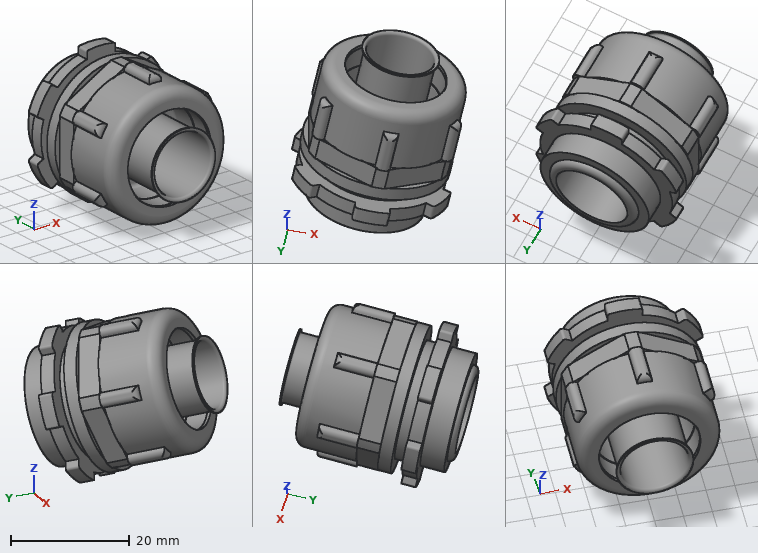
import cadquery as cq

OVERALL_LENGTH = 31.0
SIXFOLD = 6
SIXFOLD_STEP = 360 / SIXFOLD

CAP_FRONT_Y = 4.03
CAP_LIP_LENGTH = 0.62
CLAMP_FRONT_Y = CAP_FRONT_Y + CAP_LIP_LENGTH
FERRULE_RIM_Y = 8.6
FERRULE_FLOOR_Y = 13.95
HEX_FRONT_Y = 15.07
HEX_LENGTH = 3.95
HEX_BACK_Y = HEX_FRONT_Y + HEX_LENGTH
GASKET_LENGTH = 2.3
LOCKNUT_FRONT_Y = 23.28
LOCKNUT_LENGTH = 2.5
THREAD_BACK_Y = 29.98

THREAD_DIAMETER = 20.85
SPIGOT_DIAMETER = 22.0
HEX_ACROSS_FLATS = 24.0
HEX_CORNER_DIAMETER = 26.5

GASKET_DIAMETER = 25.95
LOCKNUT_DIAMETER = 25.42
TAB_TIP_DIAMETER = 28.45
TAB_WIDTH = 6.0
TAB_CORNER_RADIUS = 0.45

CAP_DIAMETER = 24.95
CAP_OPENING_DIAMETER = 17.6
CAP_FRONT_RADIUS = 2.0
RIB_WIDTH = 2.57
RIB_TOP_HEIGHT = 13.75
RIB_LENGTH = 7.0
RIB_EDGE_RADIUS = 1.0

CLAMP_BORE_DIAMETER = 17.55

SHEET = 0.25
TUBE_DIAMETER = 12.35
CUP_DIAMETER = 17.8
FLANGE_DIAMETER = 13.33
FLARE_RADIUS = 0.3
FOLD_RADIUS = 1.0

THROAT_DIAMETER = 16.95
THROAT_BORE_DIAMETER = 13.7
THROAT_END_RADIUS = 1.0


def disc(diameter, front, back):
    """Solid cylinder about the Y axis from Y = front to Y = back."""
    return cq.Workplane("XZ", origin=(0, back, 0)).circle(diameter / 2).extrude(back - front)


def ring(outer_diameter, bore_diameter, front, back):
    """Plain ring about the Y axis."""
    return disc(outer_diameter, front, back).cut(disc(bore_diameter, front, back))


def six_around(shape):
    """The shape, first placed at +Z, at all six positions about the Y axis."""
    return [shape.rotate((0, 0, 0), (0, 1, 0), i * SIXFOLD_STEP) for i in range(SIXFOLD)]


def make_housing():
    """Threaded housing with a wrench hexagon and a spigot inside the cap nut."""
    hexagon = (
        cq.Workplane("XZ", origin=(0, HEX_BACK_Y, 0))
        .polygon(SIXFOLD, HEX_ACROSS_FLATS, circumscribed=True)
        .extrude(HEX_LENGTH)
        .intersect(disc(HEX_CORNER_DIAMETER, HEX_FRONT_Y, HEX_BACK_Y))
    )
    spigot = disc(SPIGOT_DIAMETER, FERRULE_RIM_Y, HEX_FRONT_Y)
    thread = disc(THREAD_DIAMETER, HEX_BACK_Y, THREAD_BACK_Y)
    cup_seat = disc(CUP_DIAMETER, FERRULE_RIM_Y, FERRULE_FLOOR_Y + SHEET)
    throat_bore = disc(THROAT_DIAMETER, FERRULE_FLOOR_Y + SHEET, THREAD_BACK_Y)
    return hexagon.union(spigot).union(thread).cut(cup_seat).cut(throat_bore)


def make_gasket():
    """Flat ring on the thread against the hexagon."""
    return ring(GASKET_DIAMETER, THREAD_DIAMETER, HEX_BACK_Y, HEX_BACK_Y + GASKET_LENGTH)


def make_locknut():
    """Ring on the thread with six tabs that have rounded corners."""
    back = LOCKNUT_FRONT_Y + LOCKNUT_LENGTH
    tip_radius = TAB_TIP_DIAMETER / 2
    tab = (
        cq.Workplane("XZ", origin=(0, back, 0))
        .center(0, tip_radius / 2)
        .rect(TAB_WIDTH, tip_radius)
        .extrude(LOCKNUT_LENGTH)
        .intersect(disc(TAB_TIP_DIAMETER, LOCKNUT_FRONT_Y, back))
        .edges("|Y")
        .edges(">Z")
        .fillet(TAB_CORNER_RADIUS)
    )
    nut = disc(LOCKNUT_DIAMETER, LOCKNUT_FRONT_Y, back)
    for placed_tab in six_around(tab):
        nut = nut.union(placed_tab)
    return nut.cut(disc(THREAD_DIAMETER, LOCKNUT_FRONT_Y, back))


def make_rib():
    """Grip rib at +Z; its rounded side and front edges meet in mitres."""
    section = (
        cq.Workplane("XZ", origin=(0, HEX_FRONT_Y, 0))
        .center(0, RIB_TOP_HEIGHT / 2)
        .rect(RIB_WIDTH, RIB_TOP_HEIGHT)
        .extrude(RIB_LENGTH)
        .edges("|Y and >Z")
        .fillet(RIB_EDGE_RADIUS)
    )
    rounded_front = (
        cq.Workplane("XY")
        .box(RIB_WIDTH, RIB_LENGTH, RIB_TOP_HEIGHT)
        .translate((0, HEX_FRONT_Y - RIB_LENGTH / 2, RIB_TOP_HEIGHT / 2))
        .edges("|X and >Z and <Y")
        .fillet(RIB_EDGE_RADIUS)
    )
    return section.intersect(rounded_front)


def make_cap():
    """Cap nut with a rounded front, six grip ribs and an inward front lip."""
    cap = disc(CAP_DIAMETER, CAP_FRONT_Y, HEX_FRONT_Y).faces("<Y").edges().fillet(CAP_FRONT_RADIUS)
    for rib in six_around(make_rib()):
        cap = cap.union(rib)
    opening = disc(CAP_OPENING_DIAMETER, CAP_FRONT_Y, CLAMP_FRONT_Y)
    spigot_bore = disc(SPIGOT_DIAMETER, CLAMP_FRONT_Y, HEX_FRONT_Y)
    return cap.cut(opening).cut(spigot_bore)


def make_clamp_ring():
    """Ring between the lip of the cap nut and the housing spigot."""
    return ring(SPIGOT_DIAMETER, CLAMP_BORE_DIAMETER, CLAMP_FRONT_Y, FERRULE_RIM_Y)


def make_ferrule():
    """Flared tube folded back outwards into a cup with a rounded rim."""
    tube_outer = TUBE_DIAMETER / 2
    tube_inner = tube_outer - SHEET
    cup_outer = CUP_DIAMETER / 2
    cup_inner = cup_outer - SHEET
    flare_centre = tube_outer + FLARE_RADIUS
    flare_start = SHEET + FLARE_RADIUS
    floor_back = FERRULE_FLOOR_Y + SHEET
    tube_fold_inside = FOLD_RADIUS + SHEET
    cup_fold_inside = FOLD_RADIUS - SHEET

    half_section = (
        cq.Workplane("XY")
        .moveTo(cup_outer, FERRULE_RIM_Y)
        .lineTo(cup_outer, floor_back - FOLD_RADIUS)
        .tangentArcPoint((cup_outer - FOLD_RADIUS, floor_back), relative=False)
        .lineTo(tube_inner + tube_fold_inside, floor_back)
        .tangentArcPoint((tube_inner, floor_back - tube_fold_inside), relative=False)
        .lineTo(tube_inner, flare_start)
        .tangentArcPoint((flare_centre, 0), relative=False)
        .lineTo(FLANGE_DIAMETER / 2, 0)
        .lineTo(FLANGE_DIAMETER / 2, SHEET)
        .lineTo(flare_centre, SHEET)
        .tangentArcPoint((tube_outer, flare_start), relative=False)
        .lineTo(tube_outer, FERRULE_FLOOR_Y - FOLD_RADIUS)
        .tangentArcPoint((tube_outer + FOLD_RADIUS, FERRULE_FLOOR_Y), relative=False)
        .lineTo(cup_inner - cup_fold_inside, FERRULE_FLOOR_Y)
        .tangentArcPoint((cup_inner, FERRULE_FLOOR_Y - cup_fold_inside), relative=False)
        .lineTo(cup_inner, FERRULE_RIM_Y + SHEET)
        .tangentArcPoint((cup_outer, FERRULE_RIM_Y), relative=False)
        .close()
    )
    return half_section.revolve(360, (0, 0, 0), (0, 1, 0))


def make_throat_sleeve():
    """Lining of the housing bore that projects from the threaded end with a rounded edge."""
    sleeve = disc(THROAT_DIAMETER, FERRULE_FLOOR_Y + SHEET, OVERALL_LENGTH)
    sleeve = sleeve.faces(">Y").edges().fillet(THROAT_END_RADIUS)
    return sleeve.cut(disc(THROAT_BORE_DIAMETER, FERRULE_FLOOR_Y + SHEET, OVERALL_LENGTH))


housing = make_housing()
gasket = make_gasket()
locknut = make_locknut()
cap = make_cap()
clamp_ring = make_clamp_ring()
ferrule = make_ferrule()
throat_sleeve = make_throat_sleeve()

result = cq.Compound.makeCompound([
    housing.val(),
    gasket.val(),
    locknut.val(),
    cap.val(),
    clamp_ring.val(),
    ferrule.val(),
    throat_sleeve.val(),
])